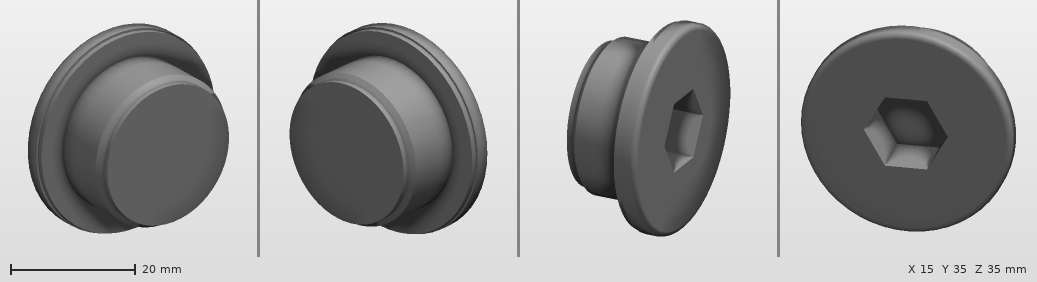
import cadquery as cq
import math

total_length = 15.0

head_diameter = 35.0
head_thickness = 3.0
head_edge_radius = 1.0

seal_diameter = 34.3
seal_thickness = 1.0

shank_diameter = 26.0
tip_diameter = 24.1
tip_length = 1.0

socket_across_flats = 12.0
socket_depth = 9.0

seal_end = head_thickness + seal_thickness
tip_start = total_length - tip_length
chamfer_size = (shank_diameter - tip_diameter) / 2
chamfer_start = tip_start - chamfer_size


def make_plug_body():
    """Revolve the stepped half profile about the X axis."""
    head_radius = head_diameter / 2
    seal_radius = seal_diameter / 2
    shank_radius = shank_diameter / 2
    tip_radius = tip_diameter / 2

    arc_inset = head_edge_radius * (1 - math.sqrt(0.5))
    profile = (
        cq.Workplane("XY")
        .moveTo(0, 0)
        .lineTo(0, head_radius - head_edge_radius)
        .threePointArc((arc_inset, head_radius - arc_inset), (head_edge_radius, head_radius))
        .lineTo(head_thickness, head_radius)
        .lineTo(head_thickness, seal_radius)
        .lineTo(seal_end, seal_radius)
        .lineTo(seal_end, shank_radius)
        .lineTo(chamfer_start, shank_radius)
        .lineTo(tip_start, tip_radius)
        .lineTo(total_length, tip_radius)
        .lineTo(total_length, 0)
        .close()
    )
    return profile.revolve(360, (0, 0, 0), (1, 0, 0))


def make_hex_socket():
    """Hexagonal prism with two flats facing up and down, two corners on Y."""
    across_corners = socket_across_flats / math.cos(math.pi / 6)
    return cq.Workplane("YZ").polygon(6, across_corners).extrude(socket_depth)


result = make_plug_body().cut(make_hex_socket())